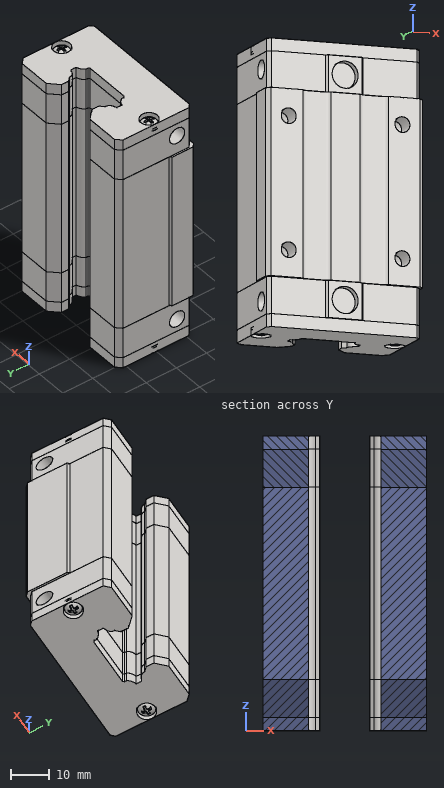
import cadquery as cq
import math


length = 77.5
height = 25.5
block_width = 44.0
end_width = 42.9
block_length = 50.5
plate_thickness = 3.5
end_face_y = 0.9

block_half = block_width / 2
end_half = end_width / 2
block_end_z = block_length / 2
plate_inner_z = length / 2 - plate_thickness
cap_length = plate_inner_z - block_end_z

front_chamfer = 1.1
rear_chamfer = 1.6

mouth_half = 9.4
lip_half = 6.5
lip_top_y = height - (mouth_half - lip_half)
lip_bottom_y = 20.3
neck_half = 7.7
neck_top_y = 19.15
pocket_half = 9.85
pocket_top_y = 16.9
pocket_bottom_y = 15.2
foot_top_y = 13.65
floor_y = 12.55
floor_chamfer = 0.4
upper_bulge_half = 9.3
upper_bulge_y = 17.2
upper_bulge_sag = 0.5
lower_bulge_sag = 0.3

groove_depth = 0.55
outer_land_edge = 12.0
centre_land_edge = 4.0
land_bevel = 0.2
groove_fillet_width = 0.85
fillet_rise = groove_depth - land_bevel
groove_fillet_radius = (groove_fillet_width**2 + fillet_rise**2) / (2 * fillet_rise)
side_step = block_half - end_half
left_step_y = 8.0
right_step_y = 13.2

mount_hole_diameter = 4.2
mount_hole_depth = 6.2
mount_hole_x = 16.0
mount_hole_z = 18.0
drill_point_angle = 118.0

pad_face_y = 0.3
pad_base_half = 5.3
pad_face_half = 4.7
front_port_diameter = 7.3
front_port_depth = 2.25
front_port_inset = 8.5
side_port_diameter = 5.0
side_port_depth = 6.2
side_port_inset = 7.6
side_port_y = 5.9

screw_x = 18.75
screw_y = 13.1
recess_diameter = 5.3
recess_depth = 2.1
head_diameter = 5.0
head_rim_height = 0.6
dome_radius = 6.0 / 2
cross_length = 2.7
cross_width = 0.7
cross_depth = 0.8
head_radius = head_diameter / 2
head_height = head_rim_height + dome_radius - math.sqrt(dome_radius**2 - head_radius**2)


def extrude_z(profile, z_start, depth):
    return profile.extrude(depth).translate((0, 0, z_start))


def rail_slot(z_start, depth):
    """Slot for the rail, mirrored about X = 0."""
    half = (
        cq.Workplane("XY")
        .moveTo(0, height)
        .lineTo(mouth_half, height)
        .lineTo(lip_half, lip_top_y)
        .lineTo(lip_half, lip_bottom_y)
        .lineTo(neck_half, neck_top_y)
        .sagittaArc((upper_bulge_half, upper_bulge_y), -upper_bulge_sag)
        .lineTo(pocket_half, pocket_top_y)
        .lineTo(pocket_half, pocket_bottom_y)
        .sagittaArc((neck_half, foot_top_y), -lower_bulge_sag)
        .lineTo(neck_half, floor_y + floor_chamfer)
        .lineTo(neck_half - floor_chamfer, floor_y)
        .lineTo(0, floor_y)
        .close()
    )
    right = extrude_z(half, z_start, depth)
    return right.union(right.mirror("YZ"))


def end_blank(z_start, depth):
    """Chamfered outline with rail slot shared by caps and plates."""
    outline = cq.Workplane("XY").polyline([
        (-end_half + front_chamfer, end_face_y),
        (end_half - front_chamfer, end_face_y),
        (end_half, end_face_y + front_chamfer),
        (end_half, height - rear_chamfer),
        (end_half - rear_chamfer, height),
        (-end_half + rear_chamfer, height),
        (-end_half, height - rear_chamfer),
        (-end_half, end_face_y + front_chamfer),
    ]).close()
    return extrude_z(outline, z_start, depth).cut(rail_slot(z_start, depth))


def mounting_groove():
    """Shallow groove between the centre land and the right-hand land."""
    inner = centre_land_edge + land_bevel
    outer = outer_land_edge - land_bevel
    profile = (
        cq.Workplane("XY")
        .moveTo(centre_land_edge, 0)
        .lineTo(inner, land_bevel)
        .radiusArc((inner + groove_fillet_width, groove_depth), groove_fillet_radius)
        .lineTo(outer - groove_fillet_width, groove_depth)
        .radiusArc((outer, land_bevel), groove_fillet_radius)
        .lineTo(outer_land_edge, 0)
        .close()
    )
    return extrude_z(profile, -block_end_z, block_length)


def mounting_hole(x, z):
    """Blind drilled hole with a conical bottom."""
    radius = mount_hole_diameter / 2
    point_depth = radius / math.tan(math.radians(drill_point_angle / 2))
    return (
        cq.Workplane("XY")
        .polyline([
            (0, 0),
            (radius, 0),
            (radius, mount_hole_depth),
            (0, mount_hole_depth + point_depth),
        ])
        .close()
        .revolve(360, (0, 0), (0, 1))
        .translate((x, 0, z))
    )


def make_block():
    outline = cq.Workplane("XY").polyline([
        (-block_half + front_chamfer, 0),
        (block_half - front_chamfer, 0),
        (block_half, front_chamfer),
        (block_half, right_step_y),
        (end_half, right_step_y + side_step),
        (end_half, height - rear_chamfer),
        (end_half - rear_chamfer, height),
        (-end_half + rear_chamfer, height),
        (-end_half, height - rear_chamfer),
        (-end_half, left_step_y + side_step),
        (-block_half, left_step_y),
        (-block_half, front_chamfer),
    ]).close()
    block = extrude_z(outline, -block_end_z, block_length)
    block = block.cut(rail_slot(-block_end_z, block_length))
    groove = mounting_groove()
    block = block.cut(groove).cut(groove.mirror("YZ"))
    for x in (-mount_hole_x, mount_hole_x):
        for z in (-mount_hole_z, mount_hole_z):
            block = block.cut(mounting_hole(x, z))
    return block


def make_end_cap():
    """Cap for the +Z end."""
    pad = extrude_z(
        cq.Workplane("XY").polyline([
            (-pad_base_half, end_face_y),
            (-pad_face_half, pad_face_y),
            (pad_face_half, pad_face_y),
            (pad_base_half, end_face_y),
        ]).close(),
        block_end_z,
        cap_length,
    )
    front_port = cq.Workplane(cq.Solid.makeCylinder(
        front_port_diameter / 2,
        front_port_depth,
        cq.Vector(0, pad_face_y, length / 2 - front_port_inset),
        cq.Vector(0, 1, 0),
    ))
    side_port = cq.Workplane(cq.Solid.makeCylinder(
        side_port_diameter / 2,
        side_port_depth,
        cq.Vector(-end_half, side_port_y, length / 2 - side_port_inset),
        cq.Vector(1, 0, 0),
    ))
    cap = end_blank(block_end_z, cap_length).union(pad)
    return cap.cut(front_port).cut(side_port).cut(side_port.mirror("YZ"))


def make_seal_plate():
    """Plate for the +Z end, with a recess for each screw head."""
    plate = end_blank(plate_inner_z, plate_thickness)
    recesses = (
        cq.Workplane("XY", origin=(0, 0, length / 2 - recess_depth))
        .pushPoints([(-screw_x, screw_y), (screw_x, screw_y)])
        .circle(recess_diameter / 2)
        .extrude(recess_depth)
    )
    return plate.cut(recesses)


def make_screw(x):
    """Domed screw head with a cross drive, seated in the +Z plate."""
    head = (
        cq.Workplane("XZ")
        .moveTo(0, 0)
        .lineTo(head_radius, 0)
        .lineTo(head_radius, head_rim_height)
        .radiusArc((0, head_height), -dome_radius)
        .close()
        .revolve(360, (0, 0), (0, 1))
    )
    cross_floor = cq.Workplane("XY", origin=(0, 0, head_height - cross_depth))
    cross = cross_floor.rect(cross_length, cross_width).extrude(cross_depth)
    cross = cross.union(cross_floor.rect(cross_width, cross_length).extrude(cross_depth))
    return head.cut(cross).translate((x, screw_y, length / 2 - recess_depth))


def both_ends(part):
    """The +Z body and its mirror copy at the -Z end."""
    return [part.val(), part.mirror("XY").val()]


block = make_block()
end_caps = both_ends(make_end_cap())
seal_plates = both_ends(make_seal_plate())
screws = []
for screw_side in (-screw_x, screw_x):
    screws += both_ends(make_screw(screw_side))

result = cq.Compound.makeCompound([block.val(), *end_caps, *seal_plates, *screws])